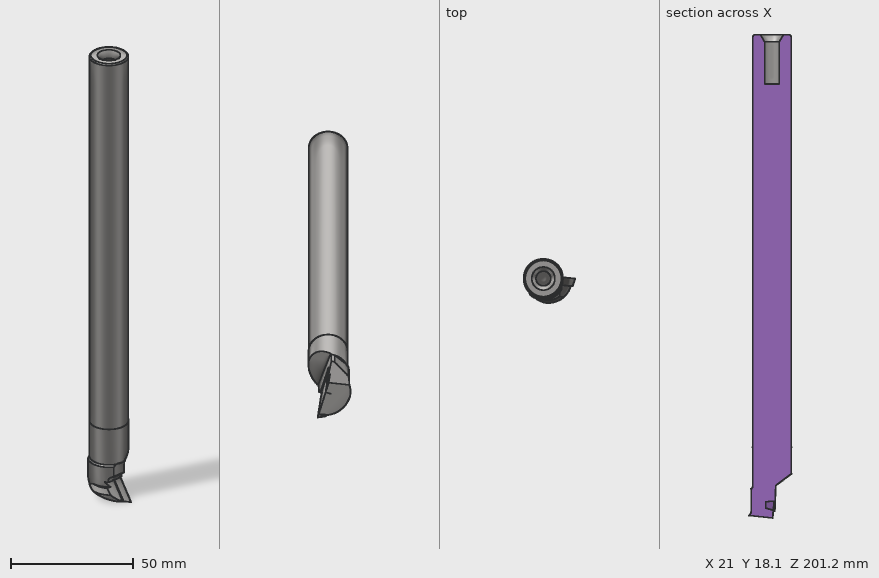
import cadquery as cq
import math

total_length = 201.2
collar_diameter = 16.0
collar_step = 0.15
shank_diameter = collar_diameter - collar_step
collar_radius = collar_diameter / 2
collar_top = 32.8
collar_bottom = 16.5
end_chamfer = 0.6
seat_height = 1.2
seat_height_at_ramp = 1.6
ramp_top = 22.0
ramp_bottom = 17.1

hole_diameter = 6.0
hole_mouth_diameter = 9.5
hole_depth = 20.1
countersink_depth = 3.0

neck_radius = 8.7
neck_top = 15.7
neck_bottom = 6.6
neck_right = 7.5
left_flat_corner = (-5.2, -7.0)
foot_radius = 9.9
foot_center = (1.8, -0.2)
foot_lip_height = 2.5
corner_bevel_top = 10.9
corner_bevel_end = (-3.6, 6.0)
relief_diameter = 2.8
relief_center = (7.5, 9.7)
flank_top = 8.9

tip_x = 13.0
insert_edge = 11.0
insert_angle = 35.0
insert_thickness = 3.2
insert_clearance = 7.0
insert_tilt = 5.0
lower_edge_angle = 16.0
upper_edge_angle = lower_edge_angle + insert_angle
upper_setback = 0.8
lower_setback = 0.2
holder_relief = 0.1

big = 60.4


def along_edge(angle, length):
    """X and Z of a point on an insert edge that leaves the tip at the given angle."""
    a = math.radians(angle)
    return (tip_x - length * math.cos(a), length * math.sin(a))


def half_space(point, outward):
    """Block that fills everything beyond a plane through the point."""
    return cq.Workplane(cq.Plane(origin=point, normal=outward)).rect(2 * big, 2 * big).extrude(big)


def beyond_left_flat():
    """Block outside the upright flat that runs from the left end of the X axis to its corner."""
    corner_x, corner_y = left_flat_corner
    outward = (corner_y, -(corner_x + collar_radius), 0)
    return half_space((corner_x, corner_y, 0), outward)


def make_shank():
    shank = (
        cq.Workplane("XY").workplane(offset=collar_top)
        .circle(shank_diameter / 2).extrude(total_length - collar_top)
        .faces(">Z").chamfer(end_chamfer)
    )
    collar = (
        cq.Workplane("XY").workplane(offset=collar_bottom)
        .circle(collar_radius).extrude(collar_top - collar_bottom)
    )
    mouth = hole_mouth_diameter / 2
    bore = hole_diameter / 2
    hole = (
        cq.Workplane("XZ")
        .polyline([
            (0, total_length),
            (mouth, total_length),
            (bore, total_length - countersink_depth),
            (bore, total_length - hole_depth),
            (0, total_length - hole_depth),
        ])
        .close().revolve(360, (0, 0), (0, 1))
    )
    return shank.union(collar).cut(hole)


def make_neck():
    """Neck with a conical shoulder up to the bar, a slanted left flat and a flat right side."""
    neck = (
        cq.Workplane("XZ")
        .polyline([
            (0, 0), (neck_radius, 0), (neck_radius, neck_top),
            (collar_radius, collar_bottom), (0, collar_bottom),
        ])
        .close().revolve(360, (0, 0), (0, 1))
    )
    neck = neck.cut(beyond_left_flat())
    neck = neck.cut(half_space((-collar_radius, 0, 0), (-1, 0, 0)))
    return neck.cut(half_space((neck_right, 0, 0), (1, 0, 0)))


def make_foot():
    """Wider foot that carries the tip, with a sloping upper face where it leaves the neck."""
    lip_width = foot_radius - neck_radius
    foot = (
        cq.Workplane("XY").center(*foot_center).circle(foot_radius)
        .extrude(neck_bottom).faces(">Z").chamfer(foot_lip_height, lip_width)
    )
    tip_body = (
        cq.Workplane("XZ", origin=(0, big / 2, 0))
        .polyline([
            (tip_x, 0), along_edge(upper_edge_angle, insert_edge),
            (-collar_radius, neck_bottom), (-collar_radius, 0),
        ])
        .close().extrude(big)
    )
    return foot.intersect(tip_body).cut(beyond_left_flat())


def trim_cutting_end(end):
    """Underside, flank, corner bevel and round relief of the cutting end."""
    low = math.radians(lower_edge_angle)
    high = math.radians(upper_edge_angle)
    underside = (-math.sin(low), -holder_relief, -math.cos(low))
    end = end.cut(half_space((tip_x - lower_setback / math.sin(low), 0, 0), underside))

    flank = (math.sin(high), 0, math.cos(high))
    below_corner = cq.Workplane("XY").box(2 * big, 2 * big, flank_top, (True, True, False))
    start = (tip_x - upper_setback / math.sin(high), 0, 0)
    end = end.cut(half_space(start, flank).intersect(below_corner))

    bevel_x, bevel_z = corner_bevel_end
    bevel = (bevel_z - corner_bevel_top, 0, -(bevel_x + collar_radius))
    end = end.cut(half_space((bevel_x, 0, bevel_z), bevel))

    relief = (
        cq.Workplane("XZ", origin=(0, big / 2, 0)).center(*relief_center)
        .circle(relief_diameter / 2).extrude(big)
    )
    return end.cut(relief)


def make_ramp_cut():
    """Material removed on the +Y side to leave the flat and the slope up to the bar.

    Below the neck the flat lies in the tilted face of the insert.
    """
    tilted_height = neck_bottom * math.tan(math.radians(insert_tilt))
    return (
        cq.Workplane("YZ", origin=(-big / 2, 0, 0))
        .polyline([
            (0, 0),
            (tilted_height, neck_bottom),
            (seat_height, neck_bottom),
            (seat_height_at_ramp, ramp_bottom),
            (collar_radius, ramp_top),
            (big, ramp_top),
            (big, 0),
        ])
        .close().extrude(big)
    )


def make_insert():
    left_corner = along_edge(lower_edge_angle, insert_edge)
    top_corner = along_edge(upper_edge_angle, insert_edge)
    far_corner = (left_corner[0] + top_corner[0] - tip_x, left_corner[1] + top_corner[1])
    insert = (
        cq.Workplane("XZ")
        .polyline([(tip_x, 0), left_corner, far_corner, top_corner])
        .close().extrude(insert_thickness, taper=insert_clearance)
    )
    return insert.rotate((0, 0, 0), (1, 0, 0), -insert_tilt)


def make_insert_pocket(insert):
    """Room for the insert, open from its cutting face out to +Y."""
    face = insert.faces(">Y").val()
    opening = cq.Workplane(cq.Solid.extrudeLinear(face, cq.Vector(0, big, 0)))
    return insert.union(opening)


insert = make_insert()
holder = make_shank().union(trim_cutting_end(make_neck().union(make_foot())))
holder = holder.cut(make_ramp_cut()).cut(make_insert_pocket(insert))

result = cq.Compound.makeCompound([holder.val(), insert.val()])